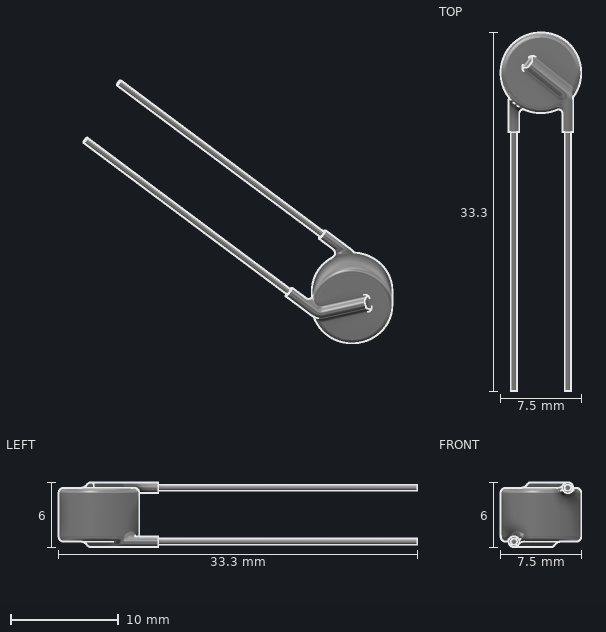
import cadquery as cq
import math

disc_diameter = 7.5
disc_thickness = 5.0
rim_fillet = 0.5

lead_x = 2.5
lead_z = disc_thickness / 2
coat_radius = 0.5
coat_end_y = -5.5
bend_start_y = -2.5
bend_radius = 1.0
bend_angle = math.radians(51.4)
arm_length = 4.0
root_fillet = 0.49
toe_corner_radius = 0.45
cutter_margin = 0.1

wire_radius = 0.3
overall_length = 33.25
wire_length = overall_length - disc_diameter / 2 + coat_end_y

contact_tolerance = 1e-3


def both_sides(shape):
    """Return the shape and its copy turned half way round the Y axis."""
    return [shape.rotate((0, 0, 0), (0, 1, 0), angle) for angle in (0, 180)]


def make_disc():
    disc = cq.Workplane("XY").circle(disc_diameter / 2).extrude(disc_thickness)
    disc = disc.translate((0, 0, -disc_thickness / 2))
    return disc.faces("|Z").edges().fillet(rim_fillet)


def bend_point(angle):
    """Point on the bend's centre line, at an angle from where the bend starts."""
    return (
        lead_x - bend_radius + bend_radius * math.cos(angle),
        bend_start_y + bend_radius * math.sin(angle),
    )


def arm_point(along, aside):
    """Point beside the arm: a distance along it from the bend and one square to its centre line."""
    bend_end_x, bend_end_y = bend_point(bend_angle)
    return (
        bend_end_x - along * math.sin(bend_angle) + aside * math.cos(bend_angle),
        bend_end_y + along * math.cos(bend_angle) + aside * math.sin(bend_angle),
    )


def make_coat():
    """Round coat along the top lead: a straight stub, a bend and an arm across the face."""
    path = (
        cq.Workplane("XY", origin=(0, 0, lead_z))
        .moveTo(lead_x, coat_end_y)
        .lineTo(lead_x, bend_start_y)
        .threePointArc(bend_point(bend_angle / 2), arm_point(0, 0))
        .lineTo(*arm_point(arm_length, 0))
    )
    profile = cq.Workplane("XZ", origin=(lead_x, coat_end_y, lead_z)).circle(coat_radius)
    return profile.sweep(path)


def root_edges(body, disc, coats):
    """Edges of the joined body that lie on both the disc surface and a coat surface."""
    disc_shell = disc.val().Shells()[0]
    coat_shells = [coat.val().Shells()[0] for coat in coats]
    edges = []
    for edge in body.edges().vals():
        middle = cq.Vertex.makeVertex(*edge.positionAt(0.5).toTuple())
        on_disc = middle.distance(disc_shell) < contact_tolerance
        on_coat = any(middle.distance(shell) < contact_tolerance for shell in coat_shells)
        if on_disc and on_coat:
            edges.append(edge)
    return edges


def make_toe_cutters():
    """Pieces that round, seen along Z, the two outer corners of the fillet at the arm's end."""
    toe_aside = math.sqrt((coat_radius + root_fillet) ** 2 - root_fillet**2)
    toe_along = arm_length + root_fillet
    square_side = toe_corner_radius + cutter_margin
    cutters = []
    for side in (-1, 1):
        centre = arm_point(toe_along - toe_corner_radius, side * (toe_aside - toe_corner_radius))
        square = cq.Workplane("XY").rect(square_side, square_side).extrude(root_fillet)
        square = square.translate((side * square_side / 2, square_side / 2, 0))
        round_corner = cq.Workplane("XY").circle(toe_corner_radius).extrude(root_fillet)
        cutter = square.cut(round_corner)
        cutter = cutter.rotate((0, 0, 0), (0, 0, 1), math.degrees(bend_angle))
        cutters.append(cutter.translate((*centre, lead_z)))
    return cutters


def make_housing():
    disc = make_disc()
    coats = both_sides(make_coat())
    body = disc
    for coat in coats:
        body = body.union(coat)
    body = body.newObject(root_edges(body, disc, coats)).fillet(root_fillet)
    for cutter in make_toe_cutters():
        for turned_cutter in both_sides(cutter):
            body = body.cut(turned_cutter)
    return body.solids()


def make_wire():
    section = cq.Workplane("XZ", origin=(lead_x, coat_end_y, lead_z)).circle(wire_radius)
    return section.extrude(wire_length)


housing = make_housing()
wires = both_sides(make_wire())

result = cq.Compound.makeCompound([housing.val(), *[wire.val() for wire in wires]])